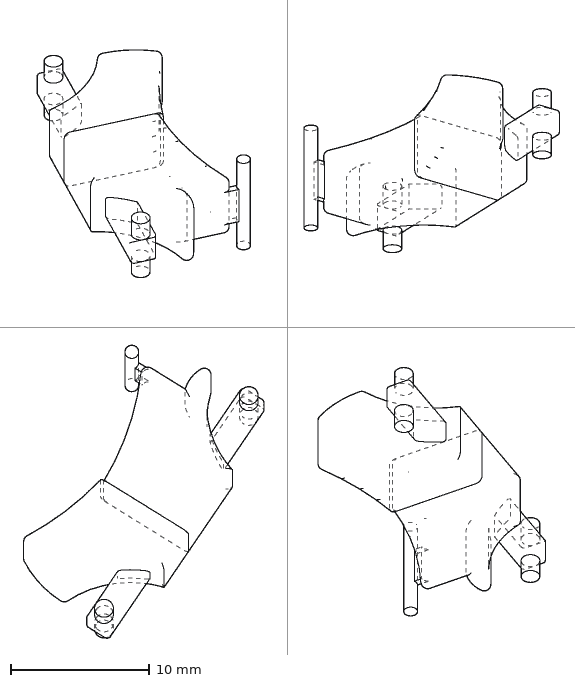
import cadquery as cq


block_height = 5.0
block_fillet = 0.5
left_foot_x = -3.25
right_foot_x = 5.83

left_seam_y = 7.6
left_horn = (-6.88, 9.97)
left_tip = (-8.2, 5.4)
left_saddle_radius = 21.95
left_outer_radius = 7.85
left_flank_radius = 8.0

right_seam_y = 7.35
right_horn = (9.11, 9.95)
ear_root_y = 6.23
ear_tip = (11.91, 5.4)
right_saddle_radius = 21.07
ear_radius = 2.65
right_flank_radius = 7.52

bar_width = 2.0
bar_fillet = 0.3
bar_y = 2.0
left_bar_end = -9.13
right_bar_end = left_bar_end + 20.9
pin_diameter = 1.35
left_pin_x = left_bar_end + bar_fillet + pin_diameter / 2
right_pin_x = right_bar_end - pin_diameter / 2

rod_diameter = 1.0
rod_length = 8.0
rod_y = 10.65
web_width = 0.5
web_height = 2.99
web_x = right_horn[0] - web_width / 2
web_start_y = right_horn[1] - 2 * block_fillet


def upright_cylinder(x, y, diameter, length):
    """Vertical cylinder centred on Z = 0."""
    return cq.Workplane("XY").center(x, y).circle(diameter / 2).extrude(length / 2, both=True)


def bar_blank(start_x, end_x):
    """Square side bar between two X positions."""
    length = abs(end_x - start_x)
    return cq.Workplane("XY").box(length, bar_width, bar_width).translate(((start_x + end_x) / 2, bar_y, 0))


def round_block(block, corners, seam_side):
    """Round the given upright corners together with the top and bottom rims, except along the seam."""
    edges = block.faces("|Z").edges("not " + seam_side)
    for x, y in corners:
        edges = edges.add(block.edges(cq.selectors.NearestToPointSelector((x, y, 0))))
    return edges.fillet(block_fillet)


def left_block():
    outline = (
        cq.Workplane("XY")
        .moveTo(0, 0)
        .lineTo(0, left_seam_y)
        .radiusArc(left_horn, left_saddle_radius)
        .radiusArc(left_tip, -left_outer_radius)
        .radiusArc((left_foot_x, 0), left_flank_radius)
        .close()
    )
    block = outline.extrude(block_height / 2, both=True)
    return round_block(block, (left_horn, left_tip), ">X")


def right_block():
    outline = (
        cq.Workplane("XY")
        .moveTo(0, 0)
        .lineTo(0, right_seam_y)
        .radiusArc(right_horn, -right_saddle_radius)
        .lineTo(right_horn[0], ear_root_y)
        .radiusArc(ear_tip, ear_radius)
        .radiusArc((right_foot_x, 0), -right_flank_radius)
        .close()
    )
    block = outline.extrude(block_height / 2, both=True)
    return round_block(block, (right_horn, ear_tip), "<X")


def left_bar():
    """Bar with its long edges and its whole free end rounded."""
    return bar_blank(left_bar_end, left_foot_x).edges("not >X").fillet(bar_fillet)


def right_bar():
    """Bar with its free upright corners and its two long front edges rounded."""
    bar = bar_blank(right_foot_x, right_bar_end)
    bar = bar.edges(">X and >Y").fillet(bar_fillet)
    return bar.faces("<Y").edges("not <X").fillet(bar_fillet)


def hinge():
    rod = upright_cylinder(web_x, rod_y, rod_diameter, rod_length)
    web_length = rod_y - web_start_y
    web = cq.Workplane("XY").box(web_width, web_length, web_height)
    return rod.union(web.translate((web_x, web_start_y + web_length / 2, 0)))


left_half = (
    left_block()
    .union(left_bar())
    .union(upright_cylinder(left_pin_x, bar_y, pin_diameter, block_height))
)

right_half = (
    right_block()
    .union(right_bar())
    .union(upright_cylinder(right_pin_x, bar_y, pin_diameter, block_height))
    .union(hinge())
)

result = cq.Compound.makeCompound([left_half.val(), right_half.val()])